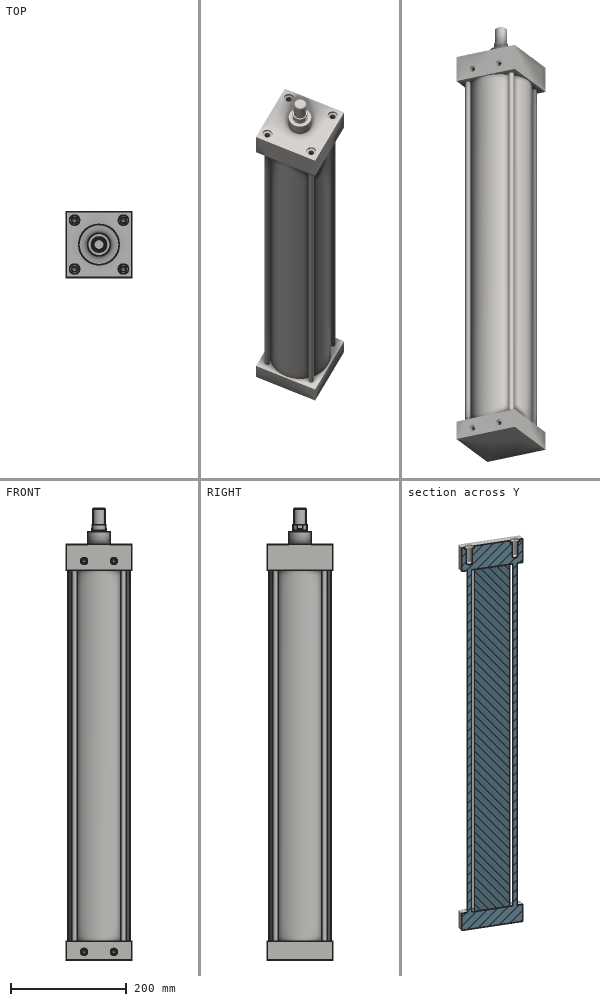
import cadquery as cq
import math

total_height = 781.0
cap_height = 33.0
head_bottom = 673.0
head_height = 45.0
head_top = head_bottom + head_height
boss_height = 22.0
boss_top = head_top + boss_height

block_side = 114.0

gland_diameter = 69.5
boss_diameter = 39.0

barrel_diameter = 108.0
tie_rod_radius = 4.8
tie_rod_offset = 42.0
tie_rod_places = [
    (x_sign * tie_rod_offset, y_sign * tie_rod_offset)
    for x_sign in (-1, 1)
    for y_sign in (-1, 1)
]

counterbore_diameter = 17.0
counterbore_depth = 4.0
corner_hole_diameter = 10.0
corner_hole_depth = 31.0

mount_hole_diameter = 12.0
mount_hole_depth = 2.0
mount_hole_offset = 26.0
mount_bore_diameter = 8.0
mount_bore_depth = 19.5
head_mount_height = 690.0
cap_mount_height = 14.0
drill_point_angle = 118.0

rod_diameter = 26.0
rod_collar_top = 743.0
neck_diameter = 25.0
rod_shoulder = 752.0
stud_diameter = 21.0
stud_chamfer = 1.5
flats_width = 23.5
flats_bottom = 745.0


def cylinder(diameter, bottom, top):
    return cq.Workplane("XY").workplane(offset=bottom).circle(diameter / 2).extrude(top - bottom)


def drilled_hole(diameter, depth):
    """Cutter along -Z from the origin, with a conical drill point past its full-diameter depth."""
    radius = diameter / 2
    point_length = radius / math.tan(math.radians(drill_point_angle / 2))
    return (
        cq.Workplane("XZ")
        .moveTo(0, 0)
        .lineTo(radius, 0)
        .lineTo(radius, -depth)
        .lineTo(0, -depth - point_length)
        .close()
        .revolve(360, (0, 0, 0), (0, 1, 0))
    )


def square_block(bottom, height):
    return cq.Workplane("XY").workplane(offset=bottom).rect(block_side, block_side).extrude(height)


def stepped_hole(outer_diameter, outer_depth, inner_diameter, inner_depth):
    """Cutter along -Z from the origin: a flat-bottomed outer hole, then a narrower drilled hole."""
    outer = cq.Workplane("XY").circle(outer_diameter / 2).extrude(-outer_depth)
    return outer.union(drilled_hole(inner_diameter, inner_depth))


def cut_mount_holes(block, height):
    """Cut the pair of stepped blind holes entering the -Y face at the given height."""
    cutter = stepped_hole(mount_hole_diameter, mount_hole_depth, mount_bore_diameter, mount_bore_depth)
    cutter = cutter.rotate((0, 0, 0), (1, 0, 0), 90)
    for x in (-mount_hole_offset, mount_hole_offset):
        block = block.cut(cutter.translate((x, -block_side / 2, height)))
    return block


def cut_corner_holes(block):
    """Cut a counterbored blind hole above each tie rod."""
    cutter = stepped_hole(counterbore_diameter, counterbore_depth, corner_hole_diameter, corner_hole_depth)
    for x, y in tie_rod_places:
        block = block.cut(cutter.translate((x, y, head_top)))
    return block


def make_head():
    """Upper end block with a round through opening for the gland."""
    opening = cylinder(gland_diameter, head_bottom, head_top)
    head = cut_corner_holes(square_block(head_bottom, head_height).cut(opening))
    return cut_mount_holes(head, head_mount_height)


def make_cap():
    """Lower end block."""
    return cut_mount_holes(square_block(0, cap_height), cap_mount_height)


def make_frame():
    """Head and cap joined into one body by the four tie rods that run just outside the barrel."""
    tie_rods = (
        cq.Workplane("XY")
        .workplane(offset=cap_height)
        .pushPoints(tie_rod_places)
        .circle(tie_rod_radius)
        .extrude(head_bottom - cap_height)
    )
    return make_cap().union(tie_rods).union(make_head())


def make_barrel():
    """Solid cylinder standing between the cap and the head."""
    return cylinder(barrel_diameter, cap_height, head_bottom)


def make_gland():
    """Round insert flush with the head top, with a raised boss and a through bore for the rod."""
    insert = cylinder(gland_diameter, head_bottom, head_top)
    boss = cylinder(boss_diameter, head_top, boss_top)
    rod_bore = cylinder(rod_diameter, head_bottom, boss_top)
    return insert.union(boss).cut(rod_bore)


def make_piston_rod():
    """Rod, then a neck with a pair of wrench flats facing +X and -X, then a narrower end stud."""
    rod = cylinder(rod_diameter, head_bottom, rod_collar_top)
    flats_cutter = (
        cq.Workplane("XY")
        .workplane(offset=flats_bottom)
        .rect(2 * neck_diameter, 2 * neck_diameter)
        .rect(flats_width, 2 * neck_diameter)
        .extrude(rod_shoulder - flats_bottom)
    )
    neck = cylinder(neck_diameter, rod_collar_top, rod_shoulder).cut(flats_cutter)
    stud = cylinder(stud_diameter, rod_shoulder, total_height).faces(">Z").chamfer(stud_chamfer)
    return rod.union(neck).union(stud)


frame = make_frame()
barrel = make_barrel()
gland = make_gland()
piston_rod = make_piston_rod()

result = cq.Compound.makeCompound([frame.val(), barrel.val(), gland.val(), piston_rod.val()])